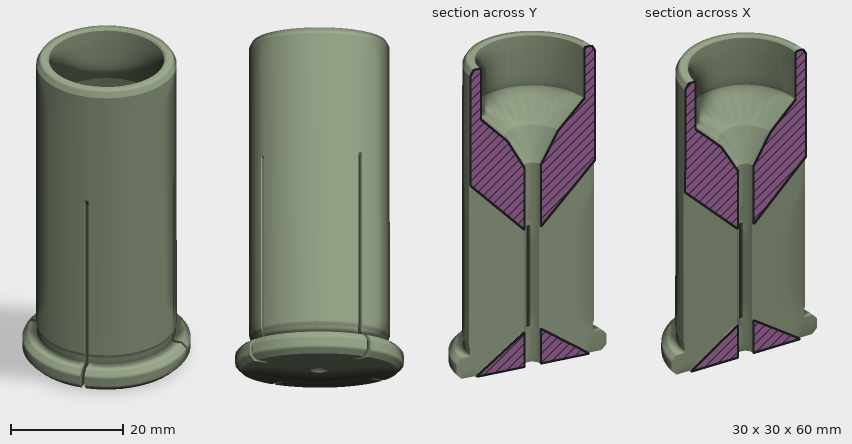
import cadquery as cq
import math

length = 60.0
flange_radius = 15.0
sleeve_radius = 25.0 / 2

flange_height = 4.0
flange_bevel = 1.0
flange_edge_round = 0.55

relief_radius = 12.3
relief_fillet = 0.35
relief_taper_start = 5.6
relief_taper_end = 6.2

top_taper_height = 1.2
top_taper_angle = math.radians(30)
top_edge_round = 0.6
mouth_chamfer = 0.3

recess_radius = 20.5 / 2
recess_depth = 10.0
middle_radius = 10.0 / 2
hole_radius = 3.2 / 2
upper_cone_slope = math.radians(45)
lower_cone_slope = math.radians(60)

slot_count = 4
slot_width = 0.8
slot_top = 37.55
slot_mouth_bottom = 6.9
slot_foot_slope = math.radians(35)


def revolve_profile(profile):
    return profile.close().revolve(360, (0, 0, 0), (0, 1, 0))


def make_flange():
    disc = cq.Workplane("XY").circle(flange_radius).extrude(flange_height)
    disc = disc.faces("<Z or >Z").chamfer(flange_bevel)
    rim_planes = (flange_bevel, flange_height - flange_bevel)
    for rim_z in rim_planes:
        rim = cq.selectors.NearestToPointSelector((0, 0, rim_z))
        disc = disc.edges(rim).fillet(flange_edge_round)
    return disc.faces(">Z").edges().fillet(flange_edge_round)


def make_sleeve():
    top_radius = sleeve_radius - top_taper_height * math.tan(top_taper_angle)
    arc_offset = relief_fillet * (1 - math.sqrt(0.5))
    profile = (
        cq.Workplane("XZ")
        .lineTo(relief_radius + relief_fillet, 0)
        .lineTo(relief_radius + relief_fillet, flange_height)
        .threePointArc(
            (relief_radius + arc_offset, flange_height + arc_offset),
            (relief_radius, flange_height + relief_fillet),
        )
        .lineTo(relief_radius, relief_taper_start)
        .lineTo(sleeve_radius, relief_taper_end)
        .lineTo(sleeve_radius, length - top_taper_height)
        .lineTo(top_radius, length)
        .lineTo(0, length)
    )
    return revolve_profile(profile).faces(">Z").edges().fillet(top_edge_round)


def make_bore():
    recess_floor = length - recess_depth
    middle_z = recess_floor - (recess_radius - middle_radius) * math.tan(upper_cone_slope)
    hole_top = middle_z - (middle_radius - hole_radius) * math.tan(lower_cone_slope)
    profile = (
        cq.Workplane("XZ")
        .lineTo(hole_radius, 0)
        .lineTo(hole_radius, hole_top)
        .lineTo(middle_radius, middle_z)
        .lineTo(recess_radius, recess_floor)
        .lineTo(recess_radius, length - mouth_chamfer)
        .lineTo(recess_radius + mouth_chamfer, length)
        .lineTo(0, length)
    )
    return revolve_profile(profile)


def make_slot():
    inner_top = slot_top - (sleeve_radius - hole_radius)
    bottom_radius = hole_radius + slot_mouth_bottom / math.tan(slot_foot_slope)
    return (
        cq.Workplane("XZ")
        .moveTo(0, slot_mouth_bottom)
        .lineTo(hole_radius, slot_mouth_bottom)
        .lineTo(bottom_radius, 0)
        .lineTo(flange_radius, 0)
        .lineTo(flange_radius, slot_top)
        .lineTo(sleeve_radius, slot_top)
        .lineTo(hole_radius, inner_top)
        .lineTo(0, inner_top)
        .close()
        .extrude(slot_width / 2, both=True)
    )


result = make_flange().union(make_sleeve()).cut(make_bore())
for slot_index in range(slot_count):
    slot_angle = slot_index * 360 / slot_count
    result = result.cut(make_slot().rotate((0, 0, 0), (0, 0, 1), slot_angle))